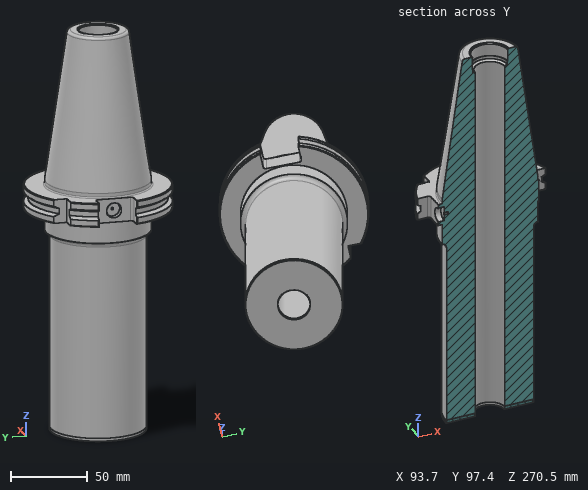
import cadquery as cq
import math

TOTAL_HEIGHT = 270.5
NOSE_LENGTH = 150.0
FLANGE_THICKNESS = 16.0
TAPER_LENGTH = 101.5
SHOULDER_LENGTH = 15.0
CAP_THICKNESS = 2.2
CAP_CHAMFER = 0.3

BODY_DIAMETER = 63.5
GAUGE_RADIUS = 35.0
FLANGE_RADIUS = 48.7
TAPER_RATIO = 7 / 24
TAPER_END_FILLET = 2.2
FLANGE_ROOT_FILLET = 0.8
FLANGE_CHAMFER = 0.5

GROOVE_RADIUS = 45.7
GROOVE_WIDTH = 7.0
GROOVE_FLANK_ANGLE = 30.0

SLOT_WIDTH = 25.5
LEFT_SLOT_FLOOR = 37.5
RIGHT_SLOT_FLOOR = 35.5
SLOT_CORNER_RADIUS = 1.5
SLOT_MOUTH_CHAMFER = 0.8

NOTCH_X = 29.5
NOTCH_Y = 29.8

POCKET_DIAMETER = 10.0
POCKET_DEPTH = 4.3
VENT_RADIUS = 0.68
VENT_DEPTH = 2.7

BORE_RADIUS = 10.5
COUNTERBORE_RADIUS = 12.7
COUNTERBORE_DEPTH = 9.5
COUNTERBORE_CHAMFER = 0.8
SECOND_STEP_RADIUS = 12.5
SECOND_STEP_DEPTH = 11.6
BORE_MOUTH_HEIGHT = 1.0

body_radius = BODY_DIAMETER / 2
flange_bottom = NOSE_LENGTH
flange_top = flange_bottom + FLANGE_THICKNESS
flange_middle = (flange_bottom + flange_top) / 2
gauge_plane = TOTAL_HEIGHT - TAPER_LENGTH
taper_end_radius = GAUGE_RADIUS - TAPER_LENGTH * TAPER_RATIO / 2
shoulder_bottom = flange_bottom - SHOULDER_LENGTH
shoulder_fillet = GAUGE_RADIUS - body_radius


def revolved(profile):
    """Turn a closed radius-height profile about the Z axis."""
    return profile.revolve(360, (0, 0, 0), (0, 1, 0))


def turned_core():
    root = FLANGE_ROOT_FILLET
    profile = (
        cq.Workplane("XZ")
        .moveTo(0, CAP_THICKNESS)
        .lineTo(body_radius, CAP_THICKNESS)
        .lineTo(body_radius, shoulder_bottom - shoulder_fillet)
        .radiusArc((GAUGE_RADIUS, shoulder_bottom), shoulder_fillet)
        .lineTo(GAUGE_RADIUS, flange_bottom)
        .lineTo(GAUGE_RADIUS + root, flange_bottom)
        .lineTo(GAUGE_RADIUS + root, flange_top)
        .radiusArc((GAUGE_RADIUS, flange_top + root), root)
        .lineTo(GAUGE_RADIUS, gauge_plane)
        .lineTo(taper_end_radius, TOTAL_HEIGHT)
        .lineTo(0, TOTAL_HEIGHT)
        .close()
    )
    return revolved(profile).faces(">Z").edges().fillet(TAPER_END_FILLET)


def grooved_flange():
    disc = (
        cq.Workplane("XY", origin=(0, 0, flange_bottom))
        .circle(FLANGE_RADIUS)
        .extrude(FLANGE_THICKNESS)
        .edges()
        .chamfer(FLANGE_CHAMFER)
    )
    half_mouth = GROOVE_WIDTH / 2
    flank_height = (FLANGE_RADIUS - GROOVE_RADIUS) * math.tan(math.radians(GROOVE_FLANK_ANGLE))
    half_floor = half_mouth - flank_height
    groove = (
        cq.Workplane("XZ", origin=(0, 0, flange_middle))
        .moveTo(FLANGE_RADIUS, -half_mouth)
        .lineTo(GROOVE_RADIUS, -half_floor)
        .lineTo(GROOVE_RADIUS, half_floor)
        .lineTo(FLANGE_RADIUS, half_mouth)
        .close()
    )
    return disc.cut(revolved(groove))


def drive_slot(floor, side):
    """Cutter for one slot; side is -1 for -X and 1 for +X."""
    half_width = SLOT_WIDTH / 2
    length = FLANGE_RADIUS
    channel = (
        cq.Workplane("XY", origin=(side * (floor + length / 2), 0, flange_bottom))
        .rect(length, SLOT_WIDTH)
        .extrude(FLANGE_THICKNESS)
        .edges("|Z")
        .fillet(SLOT_CORNER_RADIUS)
    )
    rim_x = math.sqrt(FLANGE_RADIUS**2 - half_width**2)
    flared_half_width = half_width + SLOT_MOUTH_CHAMFER
    mouth = (
        cq.Workplane("XY", origin=(0, 0, flange_bottom))
        .moveTo(side * (rim_x - SLOT_MOUTH_CHAMFER), -half_width)
        .lineTo(side * rim_x, -flared_half_width)
        .lineTo(side * rim_x, flared_half_width)
        .lineTo(side * (rim_x - SLOT_MOUTH_CHAMFER), half_width)
        .close()
        .extrude(FLANGE_THICKNESS)
    )
    return channel.union(mouth)


def orientation_notch():
    return (
        cq.Workplane("XY", origin=(-NOTCH_X, NOTCH_Y, flange_bottom))
        .rect(-FLANGE_RADIUS, FLANGE_RADIUS, centered=False)
        .extrude(FLANGE_THICKNESS)
    )


def stepped_bore():
    step_z = TOTAL_HEIGHT - COUNTERBORE_DEPTH
    cone_z = TOTAL_HEIGHT - SECOND_STEP_DEPTH
    profile = (
        cq.Workplane("XZ")
        .moveTo(0, 0)
        .lineTo(BORE_RADIUS, 0)
        .lineTo(BORE_RADIUS, cone_z - BORE_MOUTH_HEIGHT)
        .lineTo(SECOND_STEP_RADIUS, cone_z)
        .lineTo(SECOND_STEP_RADIUS, step_z)
        .lineTo(COUNTERBORE_RADIUS, step_z)
        .lineTo(COUNTERBORE_RADIUS, TOTAL_HEIGHT - COUNTERBORE_CHAMFER)
        .lineTo(COUNTERBORE_RADIUS + COUNTERBORE_CHAMFER, TOTAL_HEIGHT)
        .lineTo(0, TOTAL_HEIGHT)
        .close()
    )
    return revolved(profile)


def chip_pocket():
    floor = cq.Workplane("YZ", origin=(-LEFT_SLOT_FLOOR, 0, flange_middle))
    pocket = floor.circle(POCKET_DIAMETER / 2).extrude(POCKET_DEPTH)
    vent = floor.circle(VENT_RADIUS).extrude(POCKET_DEPTH + VENT_DEPTH)
    return pocket.union(vent)


def make_holder():
    return (
        turned_core()
        .union(grooved_flange())
        .cut(drive_slot(LEFT_SLOT_FLOOR, -1))
        .cut(drive_slot(RIGHT_SLOT_FLOOR, 1))
        .cut(orientation_notch())
        .cut(chip_pocket())
        .cut(stepped_bore())
    )


def make_nose_cap():
    """Ring that closes the nose of the holder, flush with its outside and its bore."""
    disc = cq.Workplane("XY").circle(body_radius).extrude(CAP_THICKNESS)
    return disc.faces("<Z").edges().chamfer(CAP_CHAMFER).cut(stepped_bore())


holder = make_holder()
nose_cap = make_nose_cap()

result = cq.Compound.makeCompound([holder.val(), nose_cap.val()])